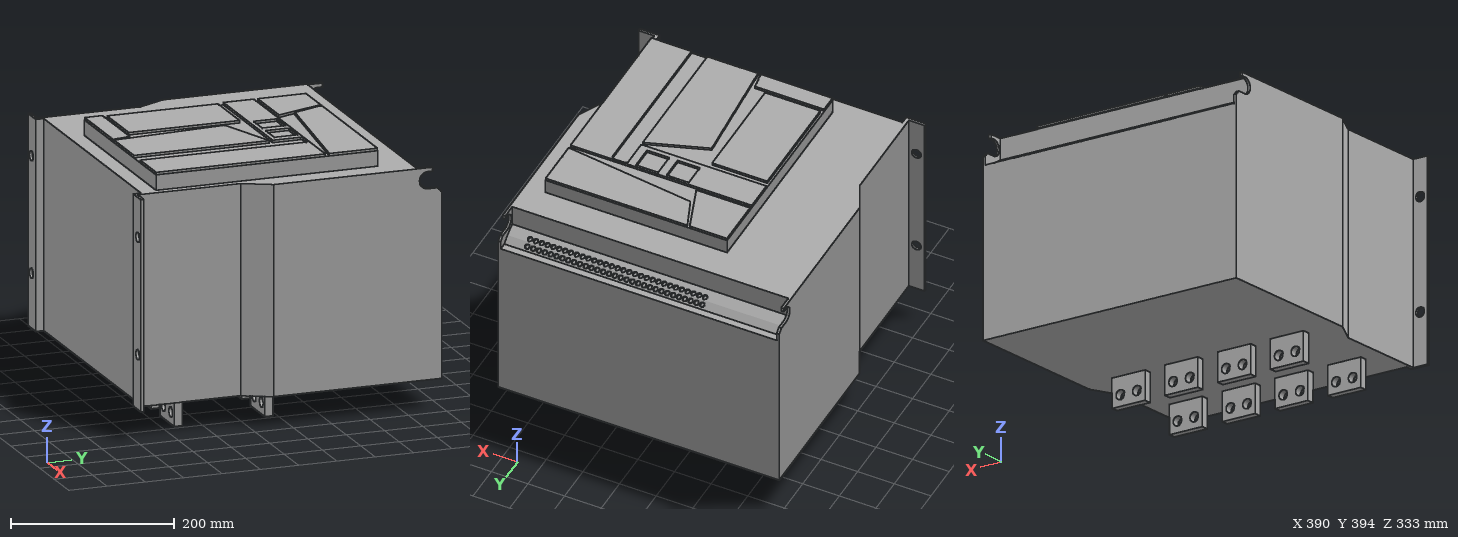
import cadquery as cq
import math

body_height = 270.5
depth = 394.0
rear_half_width = 192.0
front_half_width = 173.8
taper_start_y = 138.3
taper_end_y = 174.5

flange_half_width = 195.0
flange_thickness = 4.0
flange_wall = 5.5
front_face_y = 10.2
flange_hole_diameter = 12.5
flange_hole_x = 184.0
flange_hole_heights = (70.0, 220.0)

side_plate_thickness = 3.5
recess_front_y = 362.5
recess_crease_y = 375.5
recess_ledge_y = 384.0
recess_wall_drop = 28.5
upper_slope_angle = math.radians(30)
lower_slope_angle = math.radians(42)
recess_wall_z = body_height - recess_wall_drop
recess_crease_z = recess_wall_z - (recess_crease_y - recess_front_y) * math.tan(upper_slope_angle)
recess_ledge_z = recess_crease_z - (recess_ledge_y - recess_crease_y) * math.tan(lower_slope_angle)

notch_height = 21.5
notch_radius = notch_height / 2
notch_center_y = 376.0
hook_thickness = 5.0
hook_end_y = 381.8
notch_chamfer = 5.5

vent_count = 31
vent_row_length = 238.8
vent_pitch = vent_row_length / (vent_count - 1)
vent_diameter = 6.0
vent_depth = 3.0
upper_vent_y = 372.0
lower_vent_y = 380.0

panel_left = -84.0
panel_right = 164.0
panel_front = 31.5
panel_rear = 320.7
panel_height = 23.0
relief = 3.0
panel_center_x = (panel_left + panel_right) / 2

area_inset = 0.2
area_left = panel_left + area_inset
area_right = panel_right - area_inset
area_front = panel_front + area_inset
area_rear = panel_rear - area_inset

rear_areas_front_y = 257.5
rear_left_area_foot_x = -10.2
rear_left_area_top_x = -32.7
rear_right_area_top_x = -29.5
rear_right_area_tip = (-13.5, 279.7)
middle_area_rear = 252.5
middle_area_front = 212.8
channel_left = 87.0
channel_right = 108.7
channel_rear = 251.5
channel_corner = 2.8
window_size = 30.5
window_front = 219.0
window_lefts = (4.0, 45.7)
front_area_foot_x = 18.0
front_area_tip = (7.0, 180.5)
front_area_rear = 208.5
corner_area_foot_x = 14.5
corner_area_tip_x = 10.5
corner_area_rear = 55.0
display_left = -80.8
display_right = -5.5
display_front = 60.0
display_rear = 204.5

bar_width = 50.0
bar_thickness = 10.5
bar_drop = 39.5
bar_pitch = 80.0
bar_columns = 4
bar_row_y = (67.8, 186.0)
bar_hole_diameter = 12.5
bar_hole_spacing = 25.2
bar_hole_drop = 24.0


def box(x0, x1, y0, y1, z0, z1):
    """Box between two opposite corners."""
    return cq.Workplane("XY").box(x1 - x0, y1 - y0, z1 - z0, centered=False).translate((x0, y0, z0))


def prism(points, bottom, height):
    """Upright prism on an outline of X, Y points."""
    return cq.Workplane("XY").workplane(offset=bottom).polyline(points).close().extrude(height)


def make_cabinet():
    """Tapered body with an outward flange at each front corner."""
    right_side = [
        (front_half_width - flange_wall, front_face_y),
        (front_half_width - flange_wall, 0),
        (flange_half_width, 0),
        (flange_half_width, flange_thickness),
        (front_half_width, flange_thickness),
        (front_half_width, taper_start_y),
        (rear_half_width, taper_end_y),
        (rear_half_width, depth),
    ]
    left_side = [(-x, y) for x, y in reversed(right_side)]
    return prism(right_side + left_side, 0, body_height)


def make_flange_holes():
    """Two round holes through each flange."""
    points = [(side * flange_hole_x, z) for side in (-1, 1) for z in flange_hole_heights]
    holes = cq.Workplane("XZ").pushPoints(points).circle(flange_hole_diameter / 2)
    return holes.extrude(-flange_thickness)


def make_rear_recess():
    """Open space between the side plates above two slopes and a ledge."""
    half_width = rear_half_width - side_plate_thickness
    profile = [
        (recess_front_y, body_height),
        (recess_front_y, recess_wall_z),
        (recess_crease_y, recess_crease_z),
        (recess_ledge_y, recess_ledge_z),
        (depth, recess_ledge_z),
        (depth, body_height),
    ]
    return cq.Workplane("YZ").polyline(profile).close().extrude(half_width, both=True)


def make_side_notch():
    """Round-ended notch under a hook, cut through both side plates."""
    top = body_height - hook_thickness
    bottom = top - notch_height
    profile = (
        cq.Workplane("YZ")
        .moveTo(depth, body_height)
        .lineTo(hook_end_y, body_height)
        .lineTo(hook_end_y, top)
        .lineTo(notch_center_y, top)
        .threePointArc((notch_center_y - notch_radius, top - notch_radius), (notch_center_y, bottom))
        .lineTo(depth - notch_chamfer, bottom)
        .lineTo(depth, bottom - notch_chamfer)
        .close()
    )
    return profile.extrude(rear_half_width, both=True)


def make_vent_row(row_y, slope_angle):
    """Row of blind holes drilled square into the slope that carries them."""
    row_z = recess_crease_z - (row_y - recess_crease_y) * math.tan(slope_angle)
    slope_plane = cq.Plane(
        origin=(panel_center_x, row_y, row_z),
        xDir=(1, 0, 0),
        normal=(0, math.sin(slope_angle), math.cos(slope_angle)),
    )
    row = cq.Workplane(slope_plane).rarray(vent_pitch, 4, vent_count, 1).circle(vent_diameter / 2)
    return row.extrude(-vent_depth)


def make_panel():
    """Panel plate carrying raised areas separated by grooves."""
    base_top = body_height + panel_height - relief
    panel = box(panel_left, panel_right, panel_front, panel_rear, body_height, base_top)

    rear_left_area = [
        (area_left, rear_areas_front_y),
        (rear_left_area_foot_x, rear_areas_front_y),
        (rear_left_area_top_x, area_rear),
        (area_left, area_rear),
    ]
    rear_right_area = [
        rear_right_area_tip,
        (area_right, rear_areas_front_y),
        (area_right, area_rear),
        (rear_right_area_top_x, area_rear),
    ]
    middle_and_right_area = [
        (area_left, middle_area_front),
        (channel_left, middle_area_front),
        (channel_left, channel_rear - channel_corner),
        (channel_left + channel_corner, channel_rear),
        (channel_right - channel_corner, channel_rear),
        (channel_right, channel_rear - channel_corner),
        (channel_right, area_front),
        (area_right, area_front),
        (area_right, middle_area_rear),
        (area_left, middle_area_rear),
    ]
    front_area = [
        (front_area_foot_x, area_front),
        (channel_left, area_front),
        (channel_left, front_area_rear),
        front_area_tip,
    ]
    display_area = [
        (display_left, display_front),
        (display_right, display_front),
        (display_right, display_rear),
        (display_left, display_rear),
    ]
    corner_area = [
        (area_left, area_front),
        (corner_area_foot_x, area_front),
        (corner_area_tip_x, corner_area_rear),
        (area_left, corner_area_rear),
    ]
    areas = (
        rear_left_area,
        rear_right_area,
        middle_and_right_area,
        front_area,
        display_area,
        corner_area,
    )
    for outline in areas:
        panel = panel.union(prism(outline, base_top, relief))

    windows = (
        cq.Workplane("XY")
        .workplane(offset=base_top)
        .pushPoints([(left, window_front) for left in window_lefts])
        .rect(window_size, window_size, centered=False)
        .extrude(relief)
    )
    return panel.cut(windows)


def make_bar(center_x, center_y):
    """Flat busbar hanging from the body, with two holes side by side."""
    bar = box(
        center_x - bar_width / 2,
        center_x + bar_width / 2,
        center_y - bar_thickness / 2,
        center_y + bar_thickness / 2,
        -bar_drop,
        0,
    )
    holes = (
        cq.Workplane("XZ", origin=(center_x, center_y, -bar_hole_drop))
        .rarray(bar_hole_spacing, 4, 2, 1)
        .circle(bar_hole_diameter / 2)
        .extrude(bar_thickness, both=True)
    )
    return bar.cut(holes)


result = make_cabinet().cut(make_flange_holes())
result = result.cut(make_rear_recess()).cut(make_side_notch())
result = result.cut(make_vent_row(upper_vent_y, upper_slope_angle))
result = result.cut(make_vent_row(lower_vent_y, lower_slope_angle))
result = result.union(make_panel())
for row_y in bar_row_y:
    for column in range(bar_columns):
        column_x = (column - (bar_columns - 1) / 2) * bar_pitch
        result = result.union(make_bar(column_x, row_y))